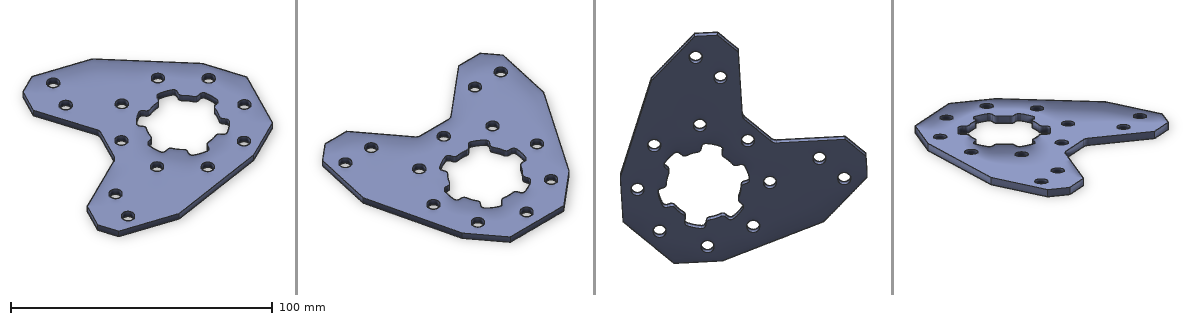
import cadquery as cq

WIDTH = 88.4
LENGTH = 82.3
THICKNESS = 3.0

RING_RADIUS = 25.4
HOLE_PITCH = RING_RADIUS / 2
HALF_WIDTH = WIDTH / 2
TOP_Y = 2.5 * HOLE_PITCH
BOTTOM_Y = TOP_Y - LENGTH
TOP_HALF_WIDTH = 13.1
TOP_CHAMFER = 13.1
SIDE_TOP_Y = -19.45
FOOT_CHAMFER = 6.2
FOOT_INNER_X = 27.4
NOTCH_DEPTH = 19.45
NOTCH_FILLET = 2.8

HOLE_DIAMETER = 5.0
RING_HOLES = 8
FOOT_HOLE_XS = (2 * HOLE_PITCH, 3 * HOLE_PITCH)
FOOT_HOLE_Y = -3 * HOLE_PITCH

OPENING_INNER_RADIUS = 14.3
OPENING_OUTER_RADIUS = 17.8
LOBE_WIDTH = 8.2
LOBE_PAIRS = 3
LOBE_FILLET = 1.6


def make_plate():
    """Mirror-symmetric plate with two feet either side of a notch."""
    notch_half_width = FOOT_INNER_X - NOTCH_DEPTH
    notch_y = BOTTOM_Y + NOTCH_DEPTH
    right_side = [
        (TOP_HALF_WIDTH, TOP_Y),
        (TOP_HALF_WIDTH + TOP_CHAMFER, TOP_Y - TOP_CHAMFER),
        (HALF_WIDTH, SIDE_TOP_Y),
        (HALF_WIDTH, BOTTOM_Y + FOOT_CHAMFER),
        (HALF_WIDTH - FOOT_CHAMFER, BOTTOM_Y),
        (FOOT_INNER_X, BOTTOM_Y),
        (notch_half_width, notch_y),
    ]
    left_side = [(-x, y) for x, y in reversed(right_side)]
    plate = cq.Workplane("XY").polyline(right_side + left_side).close().extrude(THICKNESS)
    margin = 0.9
    notch_corners = cq.selectors.BoxSelector(
        (-notch_half_width - margin, notch_y - margin, 0),
        (notch_half_width + margin, notch_y + margin, THICKNESS),
    )
    return plate.edges("|Z").edges(notch_corners).fillet(NOTCH_FILLET)


def make_opening():
    """Disc with evenly spaced, rounded lobes, used as a cutter."""
    opening = cq.Workplane("XY").circle(OPENING_INNER_RADIUS).extrude(THICKNESS)
    lobe_limit = cq.Workplane("XY").circle(OPENING_OUTER_RADIUS).extrude(THICKNESS)
    bar_length = 3 * OPENING_OUTER_RADIUS
    for index in range(LOBE_PAIRS):
        bar = (
            cq.Workplane("XY")
            .rect(bar_length, LOBE_WIDTH)
            .extrude(THICKNESS)
            .rotate((0, 0, 0), (0, 0, 1), index * 180 / LOBE_PAIRS)
        )
        opening = opening.union(bar.intersect(lobe_limit))
    return opening.clean().edges("|Z").fillet(LOBE_FILLET)


def make_holes():
    """Cutters for the ring of holes and the pair in each foot."""
    foot_points = [(side * x, FOOT_HOLE_Y) for side in (-1, 1) for x in FOOT_HOLE_XS]
    hole_radius = HOLE_DIAMETER / 2
    ring = (
        cq.Workplane("XY")
        .polarArray(RING_RADIUS, 0, 360, RING_HOLES)
        .circle(hole_radius)
        .extrude(THICKNESS)
    )
    feet = cq.Workplane("XY").pushPoints(foot_points).circle(hole_radius).extrude(THICKNESS)
    return ring.union(feet)


result = make_plate().cut(make_opening()).cut(make_holes())